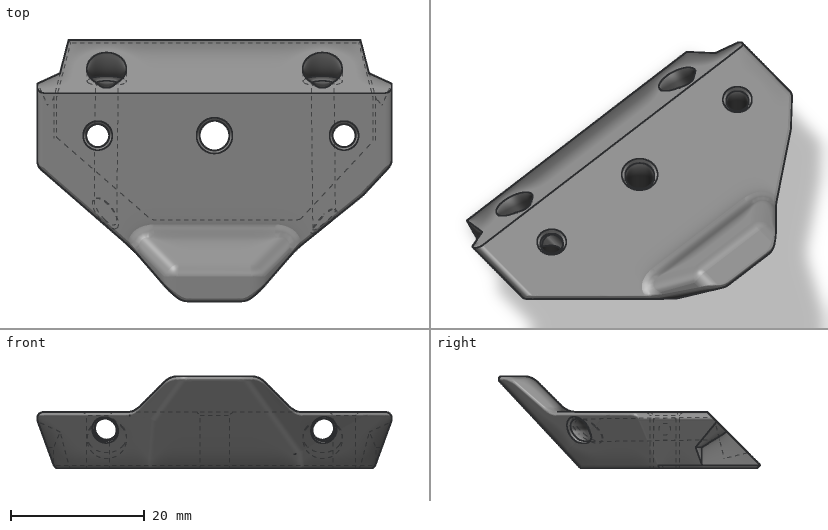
import cadquery as cq
import math

foot_height = 0.5
plate_top = 8.45
lip_top = 13.85

front_direction, front_undercut, front_distance = 0, 43, 26.85
side_direction, side_undercut, side_distance = 90, 20, 27.0
left_direction, left_undercut, left_distance = -41, 33, 26.1
right_direction, right_undercut, right_distance = 47, 29, 27.1
lip_side_direction, lip_side_undercut, lip_side_distance = 39, 15, 26.05

lip_back_y = -20.9
lip_half_width = 12.0

lip_round = 3.0
side_round = 1.0
front_corner_round = 2.0
edge_round = 0.5

foot_undercut = 40

notch_direction = 104.6
notch_distance = 23.2
notch_wall_x = 24.15
notch_wall_y = -0.8
notch_peak_height = 3.15
notch_wall_turn = 45
notch_ceiling_slope = 50

row_y = -6.4
centre_diameter = 4.4
outer_diameter = 3.4
left_hole_x = -17.5
right_hole_x = 19.4
rim_chamfer = 0.5

screw_x = 16.15
screw_z = 6.0
screw_diameter = 3.4
screw_splay = 0.6
screw_droop = 0.8
screw_rim_chamfer = 0.3

mouth_x_range = (14.35, 18.6)
mouth_y_range = (-23.95, -11.7)
mouth_z_range = (3.2, 8.25)

head_diameter = 5.9
head_floor_y = 1.8
head_floor_z = 4.35
head_tilt = 14

stock = 85.1

face_tolerance = 0.0005


def sin(degrees):
    return math.sin(math.radians(degrees))


def cos(degrees):
    return math.cos(math.radians(degrees))


def tan(degrees):
    return math.tan(math.radians(degrees))


def leaning_face(angle, undercut, distance):
    """Point and outward direction of a face that leans outwards as it rises."""
    point = (distance * sin(angle), -distance * cos(angle), plate_top)
    outward = (sin(angle) * cos(undercut), -cos(angle) * cos(undercut), -sin(undercut))
    return point, outward


def foot_face(angle, undercut, distance):
    """Face with the foot's undercut, meeting the given face at the foot height."""
    rise = plate_top - foot_height
    return leaning_face(angle, foot_undercut, distance + rise * (tan(foot_undercut) - tan(undercut)))


def inner_side(face):
    """Large block that fills the inner side of a face."""
    point, outward = face
    return cq.Workplane(cq.Plane(origin=point, normal=outward)).rect(2 * stock, 2 * stock).extrude(-stock)


def trim(body, faces):
    for face in faces:
        body = body.intersect(inner_side(face))
    return body


def lies_on(edge, face):
    point, outward = cq.Vector(face[0]), cq.Vector(face[1]).normalized()
    return all(abs((edge.positionAt(t) - point).dot(outward)) < face_tolerance for t in (0, 0.4, 1))


def edges_between(body, first_faces, second_faces):
    """Every edge that joins a face of one group to a face of the other."""
    return [
        edge
        for edge in body.edges().vals()
        if any(lies_on(edge, face) for face in first_faces)
        and any(lies_on(edge, face) for face in second_faces)
    ]


def round_between(body, first_faces, second_faces, radius):
    return body.newObject(edges_between(body, first_faces, second_faces)).fillet(radius)


def slab(height):
    return cq.Workplane("XY").box(stock, stock, height, centered=(True, True, False))


def both_sides(angle, undercut, distance):
    return [leaning_face(side * angle, undercut, distance) for side in (-1, 1)]


plate_face = ((0, 0, plate_top), (0, 0, 1))
lip_face = ((0, 0, lip_top), (0, 0, 1))
lip_back = ((0, lip_back_y, plate_top), (0, 1, 1))
lip_flanks = [((side * lip_half_width, 0, plate_top), (side, 0, 1)) for side in (-1, 1)]
back_face = ((0, 0, plate_top), (0, 1, 1))
foot_back = ((0, plate_top - foot_height, foot_height), (0, 1, -1))
front = leaning_face(front_direction, front_undercut, front_distance)
left = leaning_face(left_direction, left_undercut, left_distance)
right = leaning_face(right_direction, right_undercut, right_distance)
sides = both_sides(side_direction, side_undercut, side_distance)
lip_sides = both_sides(lip_side_direction, lip_side_undercut, lip_side_distance)


def rounded_blank():
    """Plate with the raised lip, its sloped edges blended, and the long side edges rounded."""
    lip = trim(slab(lip_top), [lip_back] + lip_flanks)
    body = slab(plate_top).union(lip)
    convex_edges = edges_between(body, [lip_back], lip_flanks)
    convex_edges += edges_between(body, [lip_face], [lip_back] + lip_flanks)
    body = body.newObject(convex_edges).fillet(lip_round)
    body = round_between(body, [plate_face], [lip_back] + lip_flanks, lip_round)
    body = trim(body, sides)
    return round_between(body, [plate_face], sides, side_round)


def trimmed_body():
    body = trim(rounded_blank(), [front, left, right] + lip_sides)
    body = round_between(body, [front], [left, right] + lip_sides, front_corner_round)
    body = round_between(body, [left, right], lip_sides, edge_round)
    body = round_between(body, sides, [left, right], edge_round)
    return trim(body, [back_face])


def tapered_foot(body):
    faces = [
        foot_face(left_direction, left_undercut, left_distance),
        foot_face(right_direction, right_undercut, right_distance),
    ]
    for side in (-1, 1):
        faces.append(foot_face(side * side_direction, side_undercut, side_distance))
        faces.append(foot_face(side * notch_direction, 0, notch_distance))
    return trim(body, faces + [foot_back])


def notch(side):
    """Cutter for one rear corner; side is -1 or +1 along X."""
    corner = (side * notch_wall_x, notch_wall_y, notch_peak_height)
    inner = ((side * notch_wall_x, notch_wall_y, 0), (-side * sin(notch_direction), cos(notch_direction), 0))
    wall = (corner, (-side * sin(notch_wall_turn), -cos(notch_wall_turn), 0))
    ceiling_run = sin(notch_ceiling_slope)
    ceiling = (
        corner,
        (side * -ceiling_run * sin(notch_wall_turn), -ceiling_run * cos(notch_wall_turn), cos(notch_ceiling_slope)),
    )
    return trim(slab(plate_top), [inner, wall, ceiling])


def vertical_hole(x, diameter):
    radius = diameter / 2
    through = cq.Workplane("XY").circle(radius).extrude(lip_top)
    rim = cq.Solid.makeCone(
        radius, radius + rim_chamfer, rim_chamfer, pnt=cq.Vector(0, 0, plate_top - rim_chamfer)
    )
    return through.union(cq.Workplane(rim)).translate((x, row_y, 0))


def screw_hole(side):
    """Through hole from the head pocket to the front."""
    start = cq.Vector(side * screw_x, head_floor_y, screw_z)
    forward = cq.Vector(side * tan(screw_splay), -1, -tan(screw_droop)).normalized()
    hole = cq.Solid.makeCylinder(screw_diameter / 2, stock, start - forward * stock / 2, forward)
    floor = cq.Vector(side * screw_x, head_floor_y, head_floor_z)
    backward = cq.Vector(0, cos(head_tilt), sin(head_tilt))
    head = cq.Solid.makeCylinder(head_diameter / 2, stock, floor, backward)
    return cq.Workplane(hole).union(cq.Workplane(head))


def chamfer_screw_mouth(body, side):
    """Chamfer the curved edges where a screw hole leaves through the front."""
    near, far = [
        (side * x, y, z) for x, y, z in zip(mouth_x_range, mouth_y_range, mouth_z_range)
    ]
    mouth = body.edges(cq.selectors.BoxSelector(near, far)).vals()
    curved = [edge for edge in mouth if edge.geomType() in ("ELLIPSE", "BSPLINE", "OTHER")]
    return body.newObject(curved).chamfer(screw_rim_chamfer)


result = tapered_foot(trimmed_body())
for x, diameter in ((0, centre_diameter), (left_hole_x, outer_diameter), (right_hole_x, outer_diameter)):
    result = result.cut(vertical_hole(x, diameter))
for side in (-1, 1):
    result = result.cut(notch(side)).cut(screw_hole(side))
for side in (-1, 1):
    result = chamfer_screw_mouth(result, side)